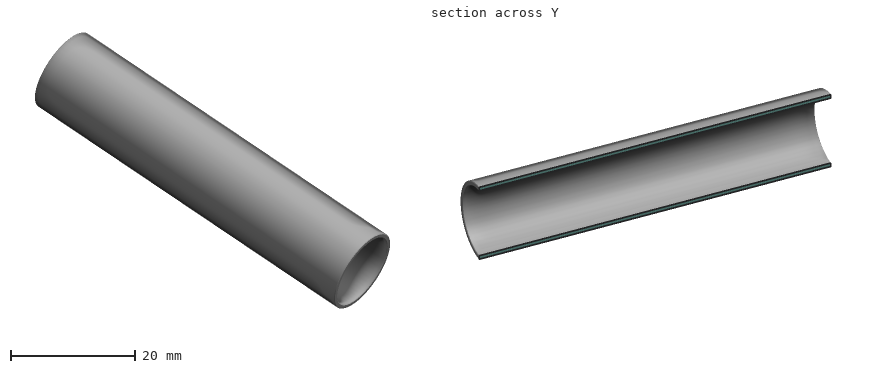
import cadquery as cq

tube_length = 62.5
outer_diameter = 14.2
bore_diameter = 12.6
edge_chamfer = 0.1

tube = (
    cq.Workplane("YZ", origin=(-tube_length / 2, 0, 0))
    .circle(outer_diameter / 2)
    .circle(bore_diameter / 2)
    .extrude(tube_length)
)

result = tube.faces("<X or >X").edges().chamfer(edge_chamfer)